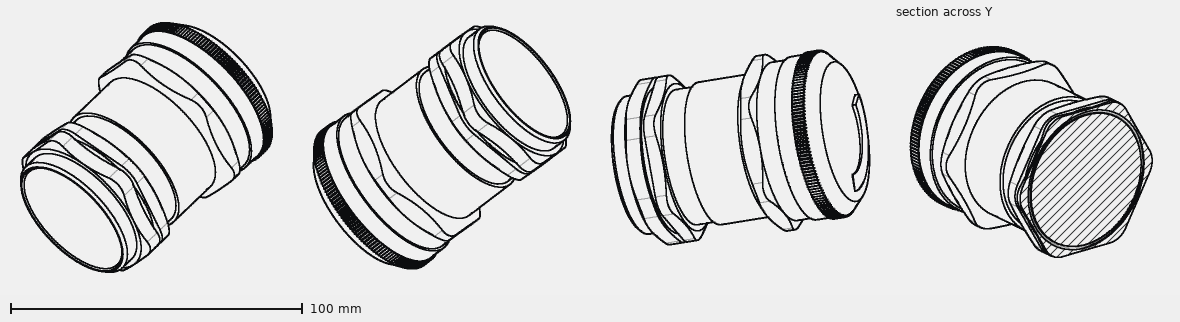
import cadquery as cq
import math


OVERALL_LENGTH = 78.45

THREAD_DIA = 48.0
THREAD_CHAMFER = 1.1
RECESS_MOUTH_RADIUS = 22.5
RECESS_FLOOR_RADIUS = 22.0
RECESS_DEPTH = 0.55

HEX_SIDES = 6
SMALL_HEX_FLATS = 51.9
LARGE_HEX_FLATS = 55.0
HEX_CORNER_RADIUS = 8.0
CHAMFER_SLOPE = math.tan(math.radians(30))
SHALLOW_SLOPE = 0.4

LOCKNUT_FRONT = 6.05
LOCKNUT_FLAT_REAR = 11.6

SEAL_CENTRE = 12.8
SEAL_SECTION_RADIUS = 1.2
SEAL_DIA = 51.3

FIXED_HEX_FRONT = 14.0
FIXED_HEX_REAR = 19.0
FIXED_HEX_FACE_RADIUS = 25.6
NECK_DIA = 47.0
BODY_FRONT = 27.45
BODY_DIA = 49.6

LARGE_HEX_FRONT = 46.9
LARGE_HEX_REAR = 54.8
CAP_NECK_DIA = 55.0
CAP_SKIRT_FRONT = 61.8
CAP_SKIRT_DIA = 56.7
KNURL_FRONT = 68.2
CAP_REAR = 76.9
CAP_FACE_RADIUS = 24.25

KNURL_DIA = 58.0
KNURL_TEETH = 150

PAD_OUTER_RADIUS = 20.8
PAD_INNER_RADIUS = 14.9
PAD_HALF_ANGLE = math.radians(62)
PAD_TILT = math.radians(2.3)


def revolve(points):
    """Turn a closed (radius, station) outline about the Y axis."""
    return cq.Workplane("XY").polyline(points).close().revolve(360, (0, 0, 0), (0, 1, 0))


def cylinder(diameter, start, end):
    radius = diameter / 2
    return revolve([(0, start), (radius, start), (radius, end), (0, end)])


def prism(outline, length):
    """Extrude an outline drawn on the XZ plane toward +Y."""
    return outline.extrude(-length)


def corner_radius(flats):
    """Radius to the sharp corners of a hexagon with the given width across flats."""
    return flats / 2 / math.cos(math.pi / HEX_SIDES)


def hex_ring(flats, start, end, turned_outline):
    """Rounded hexagonal prism cut to a turned outline that clips its corners."""
    outline = cq.Workplane("XZ", origin=(0, start, 0)).polygon(HEX_SIDES, 2 * corner_radius(flats))
    hexagon = prism(outline, end - start).edges("|Y").fillet(HEX_CORNER_RADIUS)
    return hexagon.intersect(revolve(turned_outline))


def make_front_end():
    radius = THREAD_DIA / 2
    tip_radius = radius - THREAD_CHAMFER
    return revolve([
        (0, RECESS_DEPTH),
        (RECESS_FLOOR_RADIUS, RECESS_DEPTH),
        (RECESS_MOUTH_RADIUS, 0),
        (tip_radius, 0),
        (radius, THREAD_CHAMFER),
        (radius, FIXED_HEX_FRONT),
        (0, FIXED_HEX_FRONT),
    ])


def make_locknut():
    inner = SMALL_HEX_FLATS / 2
    outer = corner_radius(SMALL_HEX_FLATS)
    rise = outer - inner
    bore_radius = THREAD_DIA / 2
    rim = LOCKNUT_FLAT_REAR + rise * SHALLOW_SLOPE
    bottom = LOCKNUT_FLAT_REAR - (inner - bore_radius) * SHALLOW_SLOPE
    return hex_ring(SMALL_HEX_FLATS, LOCKNUT_FRONT, rim, [
        (0, LOCKNUT_FRONT),
        (inner, LOCKNUT_FRONT),
        (outer, LOCKNUT_FRONT + rise * CHAMFER_SLOPE),
        (outer, rim),
        (bore_radius, bottom),
        (0, bottom),
    ])


def make_seal():
    """Ring with a half-round outer edge, filled in to the thread."""
    outer = SEAL_DIA / 2
    inner = THREAD_DIA / 2
    round_centre = outer - SEAL_SECTION_RADIUS
    front = SEAL_CENTRE - SEAL_SECTION_RADIUS
    rear = SEAL_CENTRE + SEAL_SECTION_RADIUS
    section = (
        cq.Workplane("XY")
        .moveTo(inner, front)
        .lineTo(round_centre, front)
        .threePointArc((outer, SEAL_CENTRE), (round_centre, rear))
        .lineTo(inner, rear)
        .close()
    )
    return section.revolve(360, (0, 0, 0), (0, 1, 0))


def make_fixed_hex():
    face_radius = FIXED_HEX_FACE_RADIUS
    outer = corner_radius(SMALL_HEX_FLATS)
    return hex_ring(SMALL_HEX_FLATS, FIXED_HEX_FRONT, FIXED_HEX_REAR, [
        (0, FIXED_HEX_FRONT),
        (outer, FIXED_HEX_FRONT),
        (outer, FIXED_HEX_REAR - (outer - face_radius) * SHALLOW_SLOPE),
        (face_radius, FIXED_HEX_REAR),
        (0, FIXED_HEX_REAR),
    ])


def make_large_hex():
    inner = LARGE_HEX_FLATS / 2
    outer = corner_radius(LARGE_HEX_FLATS)
    body_radius = BODY_DIA / 2
    return hex_ring(LARGE_HEX_FLATS, LARGE_HEX_FRONT, LARGE_HEX_REAR, [
        (0, LARGE_HEX_FRONT),
        (body_radius, LARGE_HEX_FRONT),
        (outer, LARGE_HEX_FRONT + (outer - body_radius) * CHAMFER_SLOPE),
        (outer, LARGE_HEX_REAR - (outer - inner) * CHAMFER_SLOPE),
        (inner, LARGE_HEX_REAR),
        (0, LARGE_HEX_REAR),
    ])


def make_knurled_cap():
    """Toothed disc clipped by the 45 degree cone of the cap."""
    crest = KNURL_DIA / 2
    root = CAP_SKIRT_DIA / 2
    pitch = 2 * math.pi / KNURL_TEETH
    points = []
    for tooth in range(KNURL_TEETH):
        for radius, angle in ((root, tooth * pitch), (crest, (tooth + 0.5) * pitch)):
            points.append((radius * math.sin(angle), radius * math.cos(angle)))
    outline = cq.Workplane("XZ", origin=(0, KNURL_FRONT, 0)).polyline(points).close()
    toothed = prism(outline, CAP_REAR - KNURL_FRONT)
    cone_front = CAP_REAR - (crest - CAP_FACE_RADIUS)
    return toothed.intersect(revolve([
        (0, KNURL_FRONT),
        (crest, KNURL_FRONT),
        (crest, cone_front),
        (CAP_FACE_RADIUS, CAP_REAR),
        (0, CAP_REAR),
    ]))


def make_pad():
    """Arc band on the -X half of the rear face, highest at its +Z end."""
    def on_arc(radius, angle):
        return (-radius * math.cos(angle), radius * math.sin(angle))

    outline = (
        cq.Workplane("XZ", origin=(0, KNURL_FRONT, 0))
        .moveTo(*on_arc(PAD_OUTER_RADIUS, -PAD_HALF_ANGLE))
        .threePointArc(on_arc(PAD_OUTER_RADIUS, 0), on_arc(PAD_OUTER_RADIUS, PAD_HALF_ANGLE))
        .lineTo(*on_arc(PAD_INNER_RADIUS, PAD_HALF_ANGLE))
        .threePointArc(on_arc(PAD_INNER_RADIUS, 0), on_arc(PAD_INNER_RADIUS, -PAD_HALF_ANGLE))
        .close()
    )
    top_z = PAD_OUTER_RADIUS * math.sin(PAD_HALF_ANGLE)
    drop = 2 * top_z * math.tan(PAD_TILT)
    slanted_block = (
        cq.Workplane("YZ")
        .polyline([
            (KNURL_FRONT, -top_z),
            (OVERALL_LENGTH - drop, -top_z),
            (OVERALL_LENGTH, top_z),
            (KNURL_FRONT, top_z),
        ])
        .close()
        .extrude(PAD_OUTER_RADIUS, both=True)
    )
    return prism(outline, OVERALL_LENGTH - KNURL_FRONT).intersect(slanted_block)


gland = make_front_end()
for piece in (
    make_locknut(),
    make_seal(),
    make_fixed_hex(),
    cylinder(NECK_DIA, FIXED_HEX_REAR, BODY_FRONT),
    cylinder(BODY_DIA, BODY_FRONT, LARGE_HEX_FRONT),
    make_large_hex(),
    cylinder(CAP_NECK_DIA, LARGE_HEX_REAR, CAP_SKIRT_FRONT),
    cylinder(CAP_SKIRT_DIA, CAP_SKIRT_FRONT, KNURL_FRONT),
    make_knurled_cap(),
    make_pad(),
):
    gland = gland.union(piece)

result = gland.translate((0, -OVERALL_LENGTH / 2, 0))